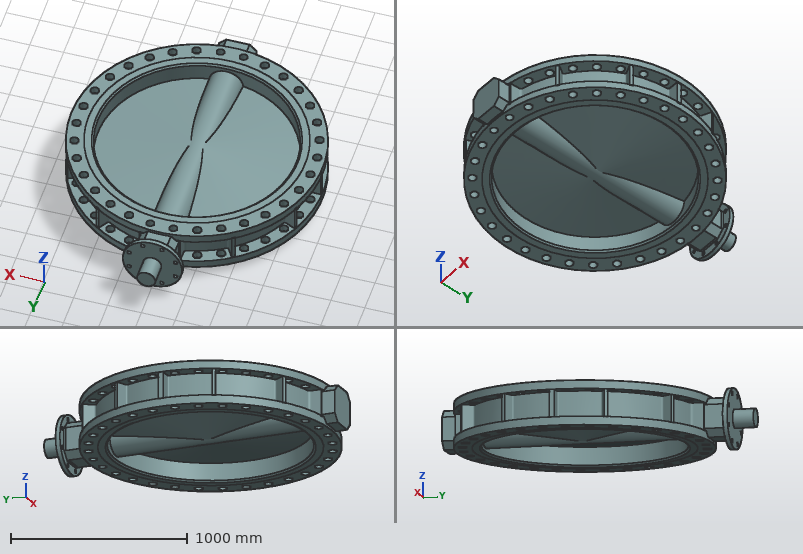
import cadquery as cq
import math


flange_radius = 743.0
housing_height = 257.0
flange_thickness = 49.0
drum_radius = 663.0
half_height = housing_height / 2
drum_half_height = half_height - flange_thickness

liner_radius = 640.0
bore_radius = 585.0
bore_chamfer = 10.0
disc_apex_height = 100.0
disc_edge_height = 13.5
hub_radius = 101.0
hub_half_length = 580.0

bolt_count = 32
bolt_circle_radius = 694.0
bolt_hole_diameter = 49.0
tapped_hole_diameter = 45.0
tapped_hole_depth = 72.0
drill_tip_angle = 118
bolt_pitch = 360 / bolt_count

rib_thickness = 20.0
side_rib_thickness = 29.0
rib_fillet = 9.0
rib_tip_radius = 737.0
rib_spacing = 33

neck_width = 224.0
neck_chamfer = 43.0
neck_root_width = 242.0
neck_root_fillet = 18.0
neck_bottom = -808.0
flare_length = 10.0
flare_growth = 4.0

plate_radius = 175.0
plate_thickness = 27.0
plate_bottom = 851.0
plate_bolt_count = 8
plate_bolt_circle_radius = 148.0
plate_bolt_diameter = 22.0
plate_top = plate_bottom + plate_thickness
shaft_radius = 55.0
overall_length = 1807
shaft_top = neck_bottom + overall_length
shaft_bottom = -740.0


def cylinder_z(radius, bottom, top):
    return cq.Workplane("XY", origin=(0, 0, bottom)).circle(radius).extrude(top - bottom)


def cylinder_y(radius, start, end):
    return cq.Workplane("XZ", origin=(0, start, 0)).circle(radius).extrude(start - end)


def block_y(width, start, end, growth=0):
    """Square block along Y, each side moving out by growth from start to end."""
    angle = -math.degrees(math.atan2(growth, end - start))
    return cq.Workplane("XZ", origin=(0, start, 0)).rect(width, width).extrude(start - end, taper=angle)


def make_necks():
    """Square bar along Y that flares below the mounting plate, with its long corners cut off."""
    flare_start = plate_bottom - flare_length
    bar = block_y(neck_width, neck_bottom, plate_bottom)
    flare = block_y(neck_width, flare_start, plate_bottom, flare_growth)
    width_across_corners = math.sqrt(2) * (neck_width - neck_chamfer)
    corner_limit = block_y(width_across_corners, neck_bottom, plate_bottom).rotate((0, 0, 0), (0, 1, 0), 45)
    return bar.union(flare).intersect(corner_limit)


def bolt_points(indices):
    """Bolt positions, index 0 lying half a pitch past the +Y axis."""
    points = []
    for index in indices:
        angle = math.radians(90 + (index + 0.5) * bolt_pitch)
        points.append((bolt_circle_radius * math.cos(angle), bolt_circle_radius * math.sin(angle)))
    return points


def radial_rib(thickness, angle):
    """Wall from the valve axis outwards, its angle measured from the +Y shaft axis."""
    return (
        cq.Workplane("XY")
        .box(thickness, flange_radius, 2 * drum_half_height)
        .translate((0, flange_radius / 2, 0))
        .rotate((0, 0, 0), (0, 0, 1), angle)
    )


def drum_with_walls(walls, root_fillet):
    """Drum carrying the given walls, with a fillet along each wall's root."""
    envelope = cylinder_z(rib_tip_radius, -drum_half_height, drum_half_height)
    web = cylinder_z(drum_radius, -drum_half_height, drum_half_height)
    for wall in walls:
        web = web.union(wall.intersect(envelope))
    root_limit = (drum_radius + rib_tip_radius) / 2
    roots = [
        edge
        for edge in web.edges("|Z").vals()
        if math.hypot(edge.Center().x, edge.Center().y) < root_limit
    ]
    return web.newObject(roots).fillet(root_fillet)


def make_web():
    """Everything between the flanges: drum, ribs and the roots of the two necks."""
    ribs = []
    for side in (90, -90):
        ribs.append(radial_rib(side_rib_thickness, side))
    for shaft_end in (0, 180):
        for step in (-2, -1, 1, 2):
            ribs.append(radial_rib(rib_thickness, shaft_end + step * rib_spacing))
    neck_root = cq.Workplane("XY").box(neck_root_width, 2 * flange_radius, 2 * drum_half_height)
    return drum_with_walls(ribs, rib_fillet).union(drum_with_walls([neck_root], neck_root_fillet))


def make_flanges():
    lower = cylinder_z(flange_radius, -half_height, -drum_half_height)
    upper = cylinder_z(flange_radius, drum_half_height, half_height)
    return lower, upper


def make_tapped_holes():
    """Blind holes with drill tips beside the necks, on both flange faces."""
    beside_necks = [-1, 0, bolt_count // 2 - 1, bolt_count // 2]
    radius = tapped_hole_diameter / 2
    tip_depth = tapped_hole_depth + radius / math.tan(math.radians(drill_tip_angle / 2))
    drill = (
        cq.Workplane("XZ")
        .polyline(
            [
                (0, half_height),
                (radius, half_height),
                (radius, half_height - tapped_hole_depth),
                (0, half_height - tip_depth),
            ]
        )
        .close()
        .revolve(360, (0, 0, 0), (0, 1, 0))
    )
    drills = []
    for x, y in bolt_points(beside_necks):
        placed = drill.translate((x, y, 0))
        drills += [placed.val(), placed.mirror("XY").val()]
    return cq.Compound.makeCompound(drills)


def make_housing():
    lower_flange, upper_flange = make_flanges()
    housing = make_web().union(lower_flange).union(upper_flange).union(make_necks())
    through_bolts = [*range(1, bolt_count // 2 - 1), *range(bolt_count // 2 + 1, bolt_count - 1)]
    bolt_holes = (
        cq.Workplane("XY", origin=(0, 0, -half_height))
        .pushPoints(bolt_points(through_bolts))
        .circle(bolt_hole_diameter / 2)
        .extrude(housing_height)
    )
    return (
        housing.cut(cylinder_z(liner_radius, -half_height, half_height))
        .cut(cylinder_y(shaft_radius, shaft_bottom, plate_bottom))
        .cut(bolt_holes)
        .cut(cq.Workplane(make_tapped_holes()))
    )


def make_liner():
    return (
        cylinder_z(liner_radius, -half_height, half_height)
        .cut(cylinder_z(bore_radius, -half_height, half_height))
        .edges("%CIRCLE")
        .edges(cq.selectors.RadiusNthSelector(0))
        .chamfer(bore_chamfer)
        .cut(cylinder_y(shaft_radius, -flange_radius, flange_radius))
    )


def make_disc():
    """Double cone with a shaft hub across it."""
    cones = (
        cq.Workplane("XZ")
        .polyline(
            [
                (0, -disc_apex_height),
                (bore_radius, -disc_edge_height),
                (bore_radius, disc_edge_height),
                (0, disc_apex_height),
            ]
        )
        .close()
        .revolve(360, (0, 0, 0), (0, 1, 0))
    )
    hub = cylinder_y(hub_radius, -hub_half_length, hub_half_length)
    hub = hub.intersect(cylinder_z(bore_radius, -half_height, half_height))
    return cones.union(hub).cut(cylinder_y(shaft_radius, -bore_radius, bore_radius))


def make_plate():
    bolt_holes = (
        cq.Workplane("XZ", origin=(0, plate_bottom, 0))
        .polarArray(plate_bolt_circle_radius, 180 / plate_bolt_count, 360, plate_bolt_count)
        .circle(plate_bolt_diameter / 2)
        .extrude(-plate_thickness)
    )
    return (
        cylinder_y(plate_radius, plate_bottom, plate_top)
        .cut(cylinder_y(shaft_radius, plate_bottom, plate_top))
        .cut(bolt_holes)
    )


housing = make_housing()
liner = make_liner()
disc = make_disc()
shaft = cylinder_y(shaft_radius, shaft_bottom, shaft_top)
plate = make_plate()

result = cq.Compound.makeCompound(
    [housing.val(), liner.val(), disc.val(), shaft.val(), plate.val()]
)